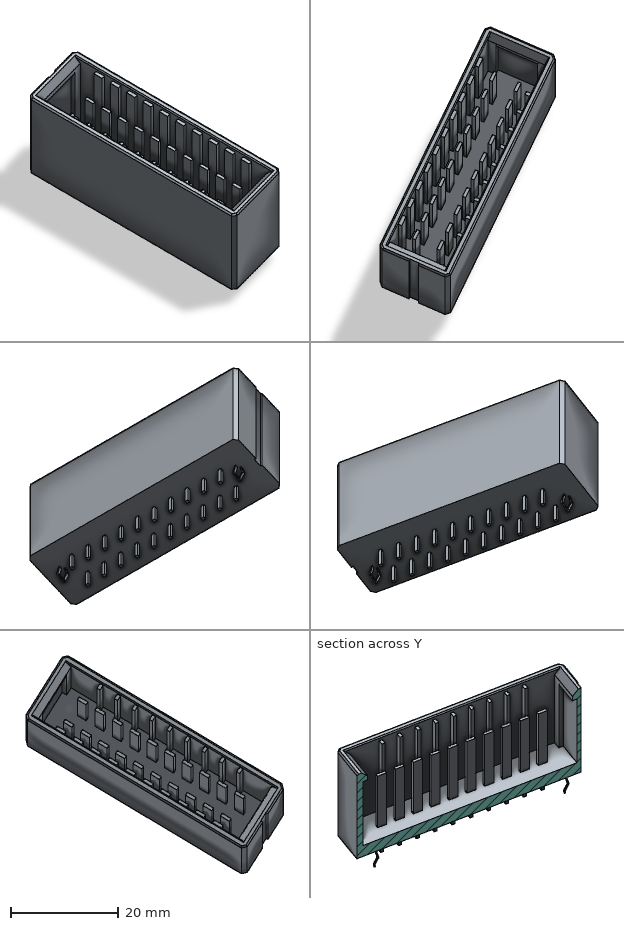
import cadquery as cq

LENGTH = 48.3
WIDTH = 14.45
HEIGHT = 21.65
CORNER_CHAMFER = 0.75
RIM_CHAMFER = 0.35

FLOOR = 2.9
END_WALL = 2.25
SIDE_WALL = 1.3
END_LEAD_IN = 1.3
SIDE_LEAD_IN = 0.25

GROOVE_WIDTH = 1.9
GROOVE_DEPTH = 0.4

RECESS_WIDTH = 8.6
RECESS_DEPTH = 0.95
RECESS_DROP = 1.2

PITCH = 3.8
CONTACT_COUNT = 10
ROW_POSITIONS = (-2.3, 2.7)
BLADE_WIDTH = 1.95
BLADE_TOP = 16.1
PIN_SIZE = 0.65
PIN_LENGTH = 3.75

RIB_TOP = 20.75
BACK_RIB_WIDTH = 1.95
BACK_RIB_DEPTH = 0.72
FRONT_RIB_WIDTH = 0.7
FRONT_RIB_DEPTH = 1.05

LOCK_X = 20.35
LOCK_Y = 1.25
LOCK_WIDTH = 1.45
LOCK_GAP = 0.3
LOCK_THICKNESS = 0.3
LOCK_ROOT_OFFSET = 0.3
LOCK_BOW_OFFSET = 0.72
LOCK_BOW_TOP = -1.6
LOCK_BOW_BOTTOM = -1.9
LOCK_TIP_TOP = -3.2
LOCK_TIP_CHAMFER = 0.3

CAVITY_HALF_LENGTH = LENGTH / 2 - END_WALL
CAVITY_HALF_WIDTH = WIDTH / 2 - SIDE_WALL


def block(x_range, y_range, z_range):
    """Axis-aligned box between the given limits."""
    size = [high - low for low, high in (x_range, y_range, z_range)]
    corner = (x_range[0], y_range[0], z_range[0])
    return cq.Workplane("XY").box(*size, centered=False).translate(corner)


def around(center, size):
    """Limits of a span centred on a position."""
    return (center - size / 2, center + size / 2)


def row_of_positions(count):
    """Evenly pitched X positions, centred on the housing."""
    return [(i - (count - 1) / 2) * PITCH for i in range(count)]


def flared_slab(plane, half_width, flare, thickness):
    """Slab from the floor up to the rim, its two sides sloping outward at 45 degrees near the top."""
    outline = [
        (-half_width, FLOOR),
        (half_width, FLOOR),
        (half_width, HEIGHT - flare),
        (half_width + flare, HEIGHT),
        (-half_width - flare, HEIGHT),
        (-half_width, HEIGHT - flare),
    ]
    return cq.Workplane(plane).polyline(outline).close().extrude(thickness / 2, both=True)


def make_housing():
    body = cq.Workplane("XY").box(LENGTH, WIDTH, HEIGHT, centered=(True, True, False))
    body = body.edges("|Z").chamfer(CORNER_CHAMFER)
    body = body.faces(">Z").chamfer(RIM_CHAMFER)

    along_length = flared_slab("XZ", CAVITY_HALF_LENGTH, END_LEAD_IN, WIDTH)
    along_width = flared_slab("YZ", CAVITY_HALF_WIDTH, SIDE_LEAD_IN, LENGTH)
    body = body.cut(along_length.intersect(along_width))

    groove_x = (-LENGTH / 2, -LENGTH / 2 + GROOVE_DEPTH)
    body = body.cut(block(groove_x, around(0, GROOVE_WIDTH), (0, HEIGHT)))

    recess_length = 2 * (CAVITY_HALF_LENGTH + RECESS_DEPTH)
    recess_top = HEIGHT - END_LEAD_IN - RECESS_DROP
    return body.cut(block(around(0, recess_length), around(0, RECESS_WIDTH), (FLOOR, recess_top)))


def make_contact(x, y):
    thickness = around(y, PIN_SIZE)
    blade = block(around(x, BLADE_WIDTH), thickness, (FLOOR, BLADE_TOP))
    pin = block(around(x, PIN_SIZE), thickness, (-PIN_LENGTH, FLOOR))
    return blade.union(pin)


def make_back_rib(x):
    depth = (CAVITY_HALF_WIDTH - BACK_RIB_DEPTH, CAVITY_HALF_WIDTH)
    return block(around(x, BACK_RIB_WIDTH), depth, (FLOOR, RIB_TOP))


def make_front_rib(x):
    depth = (-CAVITY_HALF_WIDTH, -CAVITY_HALF_WIDTH + FRONT_RIB_DEPTH)
    return block(around(x, FRONT_RIB_WIDTH), depth, (FLOOR, RIB_TOP))


def make_lock_leg(side):
    """Leg on the +Y (side = 1) or -Y (side = -1) half, bowed toward the same sign of X."""
    center_line = [
        (side * LOCK_ROOT_OFFSET, 0),
        (side * LOCK_BOW_OFFSET, LOCK_BOW_TOP),
        (side * LOCK_BOW_OFFSET, LOCK_BOW_BOTTOM),
        (0, LOCK_TIP_TOP),
    ]
    left = [(x - LOCK_THICKNESS / 2, z) for x, z in center_line]
    right = [(x + LOCK_THICKNESS / 2, z) for x, z in center_line]
    leg_width = (LOCK_WIDTH - LOCK_GAP) / 2
    leg_y = side * (LOCK_GAP + leg_width) / 2
    leg = cq.Workplane("XZ").polyline(left + right[::-1]).close().extrude(leg_width / 2, both=True)
    return leg.translate((0, leg_y, 0))


def make_lock(x):
    tip = block(around(0, LOCK_THICKNESS), around(0, LOCK_WIDTH), (-PIN_LENGTH, LOCK_TIP_TOP))
    tip = tip.edges("|X and <Z").chamfer(LOCK_TIP_CHAMFER)
    lock = tip.union(make_lock_leg(1)).union(make_lock_leg(-1))
    return lock.translate((x, LOCK_Y, 0))


result = make_housing()

for contact_x in row_of_positions(CONTACT_COUNT):
    result = result.union(make_back_rib(contact_x))
    for row_y in ROW_POSITIONS:
        result = result.union(make_contact(contact_x, row_y))

for rib_x in row_of_positions(CONTACT_COUNT - 1):
    result = result.union(make_front_rib(rib_x))

for lock_x in (-LOCK_X, LOCK_X):
    result = result.union(make_lock(lock_x))